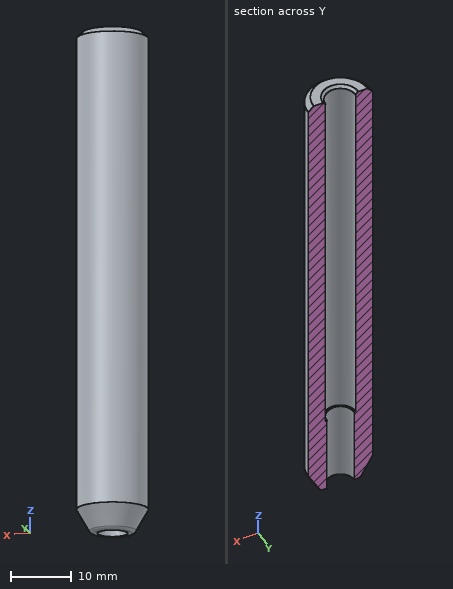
import cadquery as cq
import math

PIN_LENGTH = 85.0
PIN_RADIUS = 6.0
HEAD_CHAMFER = 1.0

LEAD_IN_HEIGHT = 4.0
LEAD_IN_ANGLE = math.radians(30)
TIP_ROUND_RADIUS = 0.85

BORE_RADIUS = 2.75
BORE_CHAMFER = 0.5
BORE_FLOOR_Z = 15.0
VENT_RADIUS = 2.5
DRILL_POINT_ANGLE = math.radians(140)

OVERCUT = 1.0


def pin_blank():
    """Solid pin: chamfered head, straight shank, and a cone with a rounded lower rim."""
    sharp_tip_radius = PIN_RADIUS - LEAD_IN_HEIGHT * math.tan(LEAD_IN_ANGLE)
    round_sweep = math.pi / 2 - LEAD_IN_ANGLE
    round_center_x = sharp_tip_radius - TIP_ROUND_RADIUS * math.tan(round_sweep / 2)

    def point_on_round(angle):
        """Point on the rim round, with the angle measured from its lowest point."""
        x = round_center_x + TIP_ROUND_RADIUS * math.sin(angle)
        z = TIP_ROUND_RADIUS * (1 - math.cos(angle))
        return x, z

    return (
        cq.Workplane("XZ")
        .lineTo(round_center_x, 0)
        .threePointArc(point_on_round(round_sweep / 2), point_on_round(round_sweep))
        .lineTo(PIN_RADIUS, LEAD_IN_HEIGHT)
        .lineTo(PIN_RADIUS, PIN_LENGTH - HEAD_CHAMFER)
        .lineTo(PIN_RADIUS - HEAD_CHAMFER, PIN_LENGTH)
        .lineTo(0, PIN_LENGTH)
        .close()
        .revolve(360, (0, 0, 0), (0, 1, 0))
    )


def stepped_bore():
    """Cutter: chamfered bore from the head, a drill-point shoulder, and a vent through the tip."""
    shoulder_height = (BORE_RADIUS - VENT_RADIUS) / math.tan(DRILL_POINT_ANGLE / 2)
    return (
        cq.Workplane("XZ")
        .moveTo(0, -OVERCUT)
        .lineTo(VENT_RADIUS, -OVERCUT)
        .lineTo(VENT_RADIUS, BORE_FLOOR_Z - shoulder_height)
        .lineTo(BORE_RADIUS, BORE_FLOOR_Z)
        .lineTo(BORE_RADIUS, PIN_LENGTH - BORE_CHAMFER)
        .lineTo(BORE_RADIUS + BORE_CHAMFER, PIN_LENGTH)
        .lineTo(0, PIN_LENGTH)
        .close()
        .revolve(360, (0, 0, 0), (0, 1, 0))
    )


hollow_pin = pin_blank().cut(stepped_bore())

result = cq.Compound.makeCompound([hollow_pin.val()])